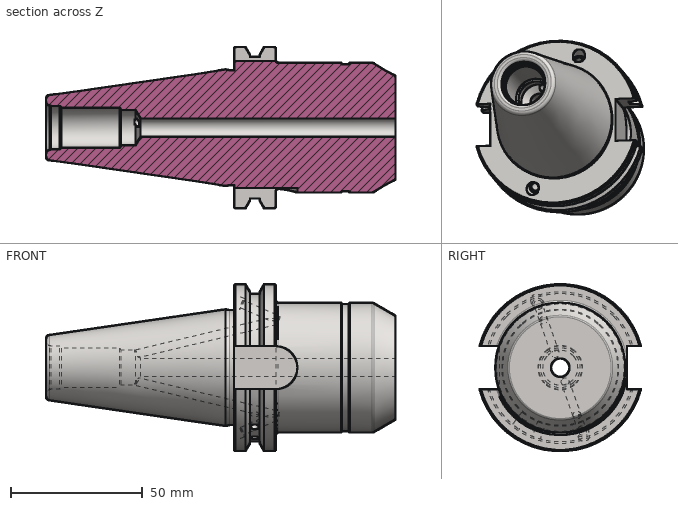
import cadquery as cq
import math


overall_length = 132.74

gauge_radius = 44.45 / 2
taper_slope = (7 / 24) / 2
shank_length = 68.25
shank_end_fillet = 1.5
relief_radius = 21.9
relief_start = 1.4

flange_front = 3.18
flange_back = 19.05
flange_radius = 63.5 / 2
flange_chamfer = 0.5
groove_center = 11.05
groove_floor_width = 3.6
groove_mouth_width = 7.1
groove_step_radius = 28.8
groove_floor_radius = 28.15
root_fillet = 0.9

body_radius = 24.7
body_end = overall_length - shank_length
nose_angle = 30
nose_length = 8.6
nose_blend_radius = 1.5
nose_edge_fillet = 0.7
ring_center = 45.45
ring_width = 3.4
ring_depth = 0.5

slot_width = 16.3
deep_slot_floor = 23.0
shallow_slot_floor = 25.35

mouth_fillet = 1.35
mouth_radius = 8.45
mouth_chamfer = 0.6
pilot_radius = 8.2
pilot_depth = 5.2
thread_radius = 7.55
thread_depth = 28
drill_radius = 6.65
drill_depth = 34
coolant_radius = 3.45
drill_half_angle = 59

channel_roll = 19.3
plug_seat_diameter = 4.55
plug_seat_depth = 3
flange_hole_radius = 27
flange_hole_tilt = 25
channel_diameter = 3.1
channel_start_radius = 5.45
channel_meeting_x = 20

balance_hole_diameter = 3.1
balance_hole_depth = 6
balance_hole_angles = (18.8, 36.9)


def turned(outline):
    """Revolve a closed (x, radius) outline about the X axis."""
    return outline.close().revolve(360, (0, 0, 0), (1, 0, 0))


def ring_edges(solid, x, radius):
    """The circular edge at one station of a turned shape."""
    tolerance = 0.05
    low = (x - tolerance, -radius - tolerance, -radius - tolerance)
    high = (x + tolerance, radius + tolerance, radius + tolerance)
    return solid.edges(cq.selectors.BoxSelector(low, high, boundingbox=True))


def make_shank():
    end_radius = gauge_radius - shank_length * taper_slope
    shank = turned(
        cq.Workplane("XZ")
        .moveTo(-shank_length, 0)
        .lineTo(-shank_length, end_radius)
        .lineTo(0, gauge_radius)
        .lineTo(relief_start, relief_radius)
        .lineTo(flange_front, relief_radius)
        .lineTo(flange_front, 0)
    )
    return ring_edges(shank, -shank_length, end_radius).fillet(shank_end_fillet)


def make_flange():
    half_floor = groove_floor_width / 2
    half_mouth = groove_mouth_width / 2
    return turned(
        cq.Workplane("XZ")
        .moveTo(flange_front, 0)
        .lineTo(flange_front, flange_radius - flange_chamfer)
        .lineTo(flange_front + flange_chamfer, flange_radius)
        .lineTo(groove_center - half_mouth, flange_radius)
        .lineTo(groove_center - half_floor, groove_step_radius)
        .lineTo(groove_center - half_floor, groove_floor_radius)
        .lineTo(groove_center + half_floor, groove_floor_radius)
        .lineTo(groove_center + half_floor, groove_step_radius)
        .lineTo(groove_center + half_mouth, flange_radius)
        .lineTo(flange_back - flange_chamfer, flange_radius)
        .lineTo(flange_back, flange_radius - flange_chamfer)
        .lineTo(flange_back, 0)
    )


def make_body():
    nose_start = body_end - nose_length
    nose_radius = body_radius - nose_length * math.tan(math.radians(nose_angle))
    ring_left = ring_center - ring_width / 2
    ring_right = ring_center + ring_width / 2
    body = turned(
        cq.Workplane("XZ")
        .moveTo(flange_back, 0)
        .lineTo(flange_back, body_radius + root_fillet)
        .radiusArc((flange_back + root_fillet, body_radius), -root_fillet)
        .lineTo(ring_left, body_radius)
        .lineTo(ring_left + ring_depth, body_radius - ring_depth)
        .lineTo(ring_right - ring_depth, body_radius - ring_depth)
        .lineTo(ring_right, body_radius)
        .lineTo(nose_start, body_radius)
        .lineTo(body_end, nose_radius)
        .lineTo(body_end, 0)
    )
    body = ring_edges(body, nose_start, body_radius).fillet(nose_blend_radius)
    return ring_edges(body, body_end, nose_radius).fillet(nose_edge_fillet)


def make_bore():
    drill_slope = math.tan(math.radians(drill_half_angle))
    pilot_end = pilot_depth - shank_length
    thread_end = thread_depth - shank_length
    drill_end = drill_depth - shank_length
    ledge_length = pilot_radius - thread_radius
    runout_length = (thread_radius - drill_radius) / drill_slope
    floor_length = (drill_radius - coolant_radius) / drill_slope
    mouth_end = mouth_fillet - shank_length
    return turned(
        cq.Workplane("XZ")
        .moveTo(-shank_length, 0)
        .lineTo(-shank_length, mouth_radius + mouth_fillet)
        .radiusArc((mouth_end, mouth_radius), -mouth_fillet)
        .lineTo(mouth_end + mouth_chamfer, pilot_radius)
        .lineTo(pilot_end, pilot_radius)
        .lineTo(pilot_end + ledge_length, thread_radius)
        .lineTo(thread_end, thread_radius)
        .lineTo(thread_end + runout_length, drill_radius)
        .lineTo(drill_end, drill_radius)
        .lineTo(drill_end + floor_length, coolant_radius)
        .lineTo(body_end, coolant_radius)
        .lineTo(body_end, 0)
    )


def make_drive_slot(side, floor):
    """Round-ended slot, open toward the shank, on the +Y (side = 1) or -Y (side = -1) flank."""
    depth = flange_radius - floor
    straight = (
        cq.Workplane("XY")
        .box(flange_back, depth, slot_width, centered=(False, False, True))
        .translate((0, floor, 0))
    )
    round_end = (
        cq.Workplane("XZ", origin=(flange_back, floor, 0))
        .circle(slot_width / 2)
        .extrude(-depth)
    )
    slot = straight.union(round_end)
    return slot if side > 0 else slot.mirror("XZ")


def rod(start, end, diameter):
    """Cylinder between two points."""
    axis = cq.Vector(*end) - cq.Vector(*start)
    return cq.Workplane(
        cq.Solid.makeCylinder(diameter / 2, axis.Length, cq.Vector(*start), axis)
    )


def make_coolant_channel():
    """V-shaped channel in the XZ plane, rolled to its place about X."""
    drop = math.tan(math.radians(flange_hole_tilt))

    def on_flange_axis(x):
        return (x, 0, flange_hole_radius - (x - flange_front) * drop)

    entry = on_flange_axis(0)
    meeting = on_flange_axis(channel_meeting_x)
    bore_floor = (drill_depth - shank_length, 0, channel_start_radius)
    plug_seat = rod(entry, on_flange_axis(flange_front + plug_seat_depth), plug_seat_diameter)
    flange_leg = rod(entry, meeting, channel_diameter)
    bore_leg = rod(bore_floor, meeting, channel_diameter)
    channel = plug_seat.union(flange_leg).union(bore_leg)
    return channel.rotate((0, 0, 0), (1, 0, 0), channel_roll)


def make_balance_hole(angle):
    """Radial hole in the groove floor, rolled from -Z toward -Y by the given angle."""
    bottom = groove_floor_radius - balance_hole_depth
    hole = rod((groove_center, 0, -bottom), (groove_center, 0, -flange_radius), balance_hole_diameter)
    return hole.rotate((0, 0, 0), (1, 0, 0), -angle)


result = make_shank().union(make_flange()).union(make_body())
result = result.cut(make_bore())
result = result.cut(make_drive_slot(1, shallow_slot_floor))
result = result.cut(make_drive_slot(-1, deep_slot_floor))

channel = make_coolant_channel()
for roll in (0, 180):
    result = result.cut(channel.rotate((0, 0, 0), (1, 0, 0), roll))

for angle in balance_hole_angles:
    result = result.cut(make_balance_hole(angle))